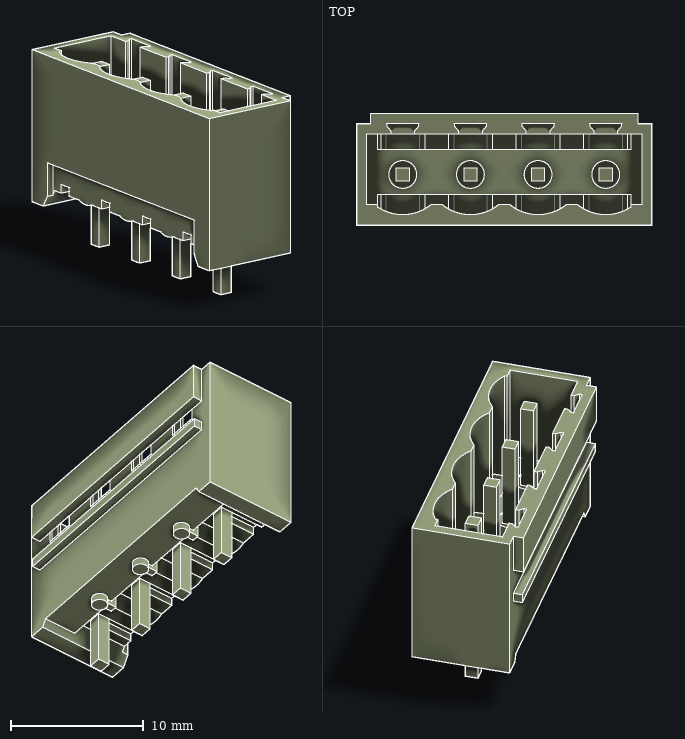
import cadquery as cq
import math

LENGTH = 22.22
DEPTH = 7.65
HEIGHT = 11.98

PIN_COUNT = 4
PITCH = 5.09
PIN_SIZE = 1.0
PIN_DROP = 3.22
PIN_RECESS = 1.0
PIN_Y = DEPTH / 2
PIN_XS = [(i - (PIN_COUNT - 1) / 2) * PITCH for i in range(PIN_COUNT)]
GAP_XS = [x + PITCH / 2 for x in PIN_XS[:-1]]

END_WALL = 0.75
BACK_WALL = 0.78
FRONT_WALL = 1.58
FLOOR_Z = 4.0
SCALLOP_DEPTH = 0.8
SCALLOP_RADIUS = 3.38
SCALLOP_SPAN = 19.06
COLLAR_DIAMETER = 2.09
COLLAR_DEPTH = 0.1

TROUGH_Z = 2.45
FRONT_TROUGH_END = 2.3
BACK_TROUGH_START = 5.7
HUMP_BASE = 3.3
HUMP_SHOULDER = 2.49
HUMP_FLANK_ANGLE = 57

KEY_NECK = 1.8
KEY_WIDTH = 2.4
KEY_NECK_DEPTH = 0.25
KEY_FLARE_DEPTH = 0.33
KEY_LENGTH = 4.07
RAIL_LENGTH = 20.13
RIM_THICKNESS = 0.78
RIM_HEIGHT = 3.15
RIB_THICKNESS = 0.69
RIB_HEIGHT = 0.73
RIB_TOP_DROP = 5.29

LEG_WIDTH = 1.4
ARCH_INSET = 2.18
FRONT_ARCH_HEIGHT = 1.3
BACK_ARCH_HEIGHT = 0.6
ARCH_STEP_Y = 4.89
RECESS_INSET = 1.93
RECESS_HEIGHT = 3.53
RECESS_DEPTH = 0.5
NOTCH_TOP = 2.0
SWELL_WIDTH = 1.58
SWELL_DROP = 0.18
PEG_DIAMETER = 1.22
WEB_WIDTH = 0.6
WEB_BOTTOM = 0.27
PEG_Y = 5.78
WEB_START_Y = 4.45


def block(x0, x1, y0, y1, z0, z1):
    """Box between two opposite corners."""
    return cq.Workplane("XY").box(x1 - x0, y1 - y0, z1 - z0, centered=False).translate((x0, y0, z0))


def centred_block(x, width, y0, y1, z0, z1):
    """Box of the given width centred on x."""
    return block(x - width / 2, x + width / 2, y0, y1, z0, z1)


def front_sketch(y):
    """XZ sketch plane at depth y whose extrusions run toward +Y."""
    return cq.Workplane(cq.Plane(origin=(0, y, 0), xDir=(1, 0, 0), normal=(0, -1, 0)))


def scallops(bottom_z):
    """Shallow round bays in the front wall, one at each pin."""
    centre_y = SCALLOP_DEPTH + SCALLOP_RADIUS
    bays = cq.Workplane("XY")
    for x in PIN_XS:
        bay = cq.Workplane("XY", origin=(x, centre_y, bottom_z)).circle(SCALLOP_RADIUS)
        bays = bays.union(bay.extrude(HEIGHT - bottom_z))
    return bays.intersect(centred_block(0, SCALLOP_SPAN, 0, FRONT_TROUGH_END, bottom_z, HEIGHT))


def cavity():
    inner_length = LENGTH - 2 * END_WALL
    back_y = DEPTH - BACK_WALL
    pocket = centred_block(0, inner_length, FRONT_WALL, back_y, FLOOR_Z, HEIGHT)
    front_trough = centred_block(0, SCALLOP_SPAN, FRONT_WALL, FRONT_TROUGH_END, TROUGH_Z, FLOOR_Z)
    back_trough = centred_block(0, SCALLOP_SPAN, BACK_TROUGH_START, back_y, TROUGH_Z, FLOOR_Z)
    return pocket.union(front_trough).union(back_trough).union(scallops(TROUGH_Z))


def hump(x):
    """Ridge along Y below one pin, with sloped flanks tangent to a round crest."""
    flank = math.radians(HUMP_FLANK_ANGLE)
    shoulder_z = TROUGH_Z + (HUMP_BASE - HUMP_SHOULDER) / 2 * math.tan(flank)
    crest_z = shoulder_z + HUMP_SHOULDER / 2 * math.tan(flank / 2)
    return (
        front_sketch(SCALLOP_DEPTH)
        .moveTo(x - HUMP_BASE / 2, TROUGH_Z)
        .lineTo(x - HUMP_SHOULDER / 2, shoulder_z)
        .threePointArc((x, crest_z), (x + HUMP_SHOULDER / 2, shoulder_z))
        .lineTo(x + HUMP_BASE / 2, TROUGH_Z)
        .close()
        .extrude(-(DEPTH - BACK_WALL - SCALLOP_DEPTH))
    )


def key_slot(x):
    """Dovetail slot through the back wall, open at the top."""
    inner_y = DEPTH - BACK_WALL
    flare_y = inner_y + KEY_NECK_DEPTH
    wide_y = flare_y + KEY_FLARE_DEPTH
    right_side = [
        (KEY_NECK / 2, inner_y),
        (KEY_NECK / 2, flare_y),
        (KEY_WIDTH / 2, wide_y),
        (KEY_WIDTH / 2, DEPTH),
    ]
    left_side = [(-dx, y) for dx, y in reversed(right_side)]
    return (
        cq.Workplane("XY", origin=(x, 0, HEIGHT - KEY_LENGTH))
        .polyline(right_side + left_side)
        .close()
        .extrude(KEY_LENGTH)
    )


def arch(height, y0, y1):
    """Opening between the legs, with sides on one common slope."""
    slope = (ARCH_INSET - LEG_WIDTH) / FRONT_ARCH_HEIGHT
    bottom_x = LENGTH / 2 - LEG_WIDTH
    top_x = bottom_x - slope * height
    return (
        front_sketch(y0)
        .polyline([(-bottom_x, 0), (-top_x, height), (top_x, height), (bottom_x, 0)])
        .close()
        .extrude(-(y1 - y0))
    )


def swell(x):
    """Rounded bulge under the front part of the base, between two pins."""
    return (
        front_sketch(RECESS_DEPTH)
        .moveTo(x - SWELL_WIDTH / 2, FRONT_ARCH_HEIGHT)
        .threePointArc((x, FRONT_ARCH_HEIGHT - SWELL_DROP), (x + SWELL_WIDTH / 2, FRONT_ARCH_HEIGHT))
        .close()
        .extrude(-(ARCH_STEP_Y - RECESS_DEPTH))
    )


def peg(x):
    """Round stand-off behind the arch step, with a thin web in front of it."""
    post = cq.Workplane("XY", origin=(x, PEG_Y, 0)).circle(PEG_DIAMETER / 2).extrude(BACK_ARCH_HEIGHT)
    web = centred_block(x, WEB_WIDTH, WEB_START_Y, PEG_Y, WEB_BOTTOM, FRONT_ARCH_HEIGHT)
    return post.union(web)


def collar_recess(x):
    """Shallow round recess in the cavity floor around one pin."""
    return (
        cq.Workplane("XY", origin=(x, PIN_Y, FLOOR_Z - COLLAR_DEPTH))
        .circle(COLLAR_DIAMETER / 2)
        .extrude(COLLAR_DEPTH)
    )


def pin(x):
    half = PIN_SIZE / 2
    return centred_block(x, PIN_SIZE, PIN_Y - half, PIN_Y + half, -PIN_DROP, HEIGHT - PIN_RECESS)


result = centred_block(0, LENGTH, 0, DEPTH, 0, HEIGHT).cut(cavity())
for pin_x in PIN_XS:
    result = result.union(hump(pin_x))
    result = result.cut(key_slot(pin_x)).cut(collar_recess(pin_x))

rib_top = HEIGHT - RIB_TOP_DROP
result = result.union(
    centred_block(0, RAIL_LENGTH, DEPTH, DEPTH + RIM_THICKNESS, HEIGHT - RIM_HEIGHT, HEIGHT)
)
result = result.union(
    centred_block(0, RAIL_LENGTH, DEPTH, DEPTH + RIB_THICKNESS, rib_top - RIB_HEIGHT, rib_top)
)

result = result.cut(arch(FRONT_ARCH_HEIGHT, 0, ARCH_STEP_Y))
result = result.cut(arch(BACK_ARCH_HEIGHT, ARCH_STEP_Y, DEPTH))
result = result.cut(centred_block(0, LENGTH - 2 * RECESS_INSET, 0, RECESS_DEPTH, 0, RECESS_HEIGHT))
for pin_x in PIN_XS:
    result = result.cut(centred_block(pin_x, PIN_SIZE, 0, PIN_Y, 0, NOTCH_TOP))
for gap_x in GAP_XS:
    result = result.union(swell(gap_x)).union(peg(gap_x))

for pin_x in PIN_XS:
    result = result.union(pin(pin_x))